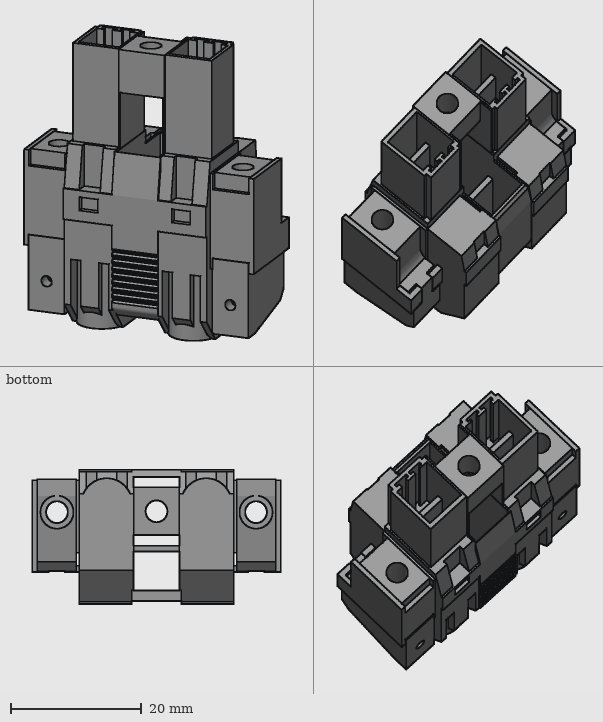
import cadquery as cq


pitch = 7.62
pole_x = -pitch
end_x = -2 * pitch

total_depth = 20.6
total_height = 45.01
half_middle = pitch / 2
side_margin = 0.4
pole_outer_x = -(pitch + half_middle + side_margin)
pole_inner_x = -half_middle
lining = 0.31
bay_half = half_middle - lining

band_step = 0.335
back_band_step = 0.36
band_bottom = 17.45
band_top = 22.43
pole_top = 29.2
back_top = 27.27
front_ramp_top_y = 1.62
back_ramp_top_y = 19.65
front_face_y = band_step
back_face_y = total_depth - back_band_step
front_bevel_z = 3.7
front_bevel_y = 3.7
back_bevel_z = 4.85
back_bevel_y = 15.44
tower_back_y = 12.75

front_notch_width = 3.48
front_notch_wall_y = 2.35
back_notch_width = 2.46
back_notch_wall_y = 19.48
band_pocket_x = pole_x - 0.04
band_pocket_width = 3.06
band_pocket_bottom = 19.2
band_pocket_top = 21.37
band_pocket_depth = 1.0

entry_radius = 3.9
entry_front_y = 1.34
entry_y = entry_front_y + entry_radius
entry_slot_width = 6.32
entry_strip_width = 3.0
entry_slot_top = 11.04

tower_outer_x = -11.5
tower_front_y = 3.02
outer_notch_x = 0.48
outer_notch_y = 0.95
inner_notch_x = 0.54
inner_notch_y = 0.5
cavity_left = -10.88
cavity_right = -4.15
cavity_front_y = 3.81
cavity_left_lip_y = 11.01
cavity_tab_y = 11.13
cavity_right_lip_y = 11.34
rail_step_y = 11.66
rail_back_y = 12.1
rail_lip = 0.53
left_rail_neck = (-9.76, -8.38)
right_rail_neck = (-6.77, -5.54)

blade_width = 4.4
blade_thickness = 0.88
blade_y = 7.16
blade_bottom = 24.0
blade_recess = 5.0
blade_top = total_height - blade_recess

lining_top = 29.04
back_lining_top = 26.9
back_rebate_front_y = tower_back_y
back_rebate_back_y = 16.83
back_rebate_width = 0.53
back_rebate_depth = 1.0
front_plate_back_y = 1.15
front_plate_top_y = 1.08
front_plate_corner_radius = 1.0
grip_top = 13.7
grip_pitch = 1.1
grip_count = 8
grip_slope = 0.35
grip_flat = 0.25
back_plate_y = 20.15
back_plate_bottom = 8.0
back_plate_front_y = 18.5
back_plate_ramp_y = 19.5
back_plate_flat_y = 19.0
back_plate_ramp_top = 26.3
cross_wall_front_y = 11.64
cross_wall_thickness = 0.94
cross_wall_bottom = 5.0
cross_wall_top = 20.0

bridge_front_y = 2.7
bridge_back_y = 10.03
bridge_wing_back_y = tower_back_y - inner_notch_y
bridge_bottom = 38.09
screw_hole_radius = 1.65
bridge_hole_y = 6.4

sleeve_outer_x = -5 * pitch / 2
sleeve_wall = 0.78
block_width = 6.0
block_left_x = sleeve_outer_x + sleeve_wall
block_right_x = block_left_x + block_width
sleeve_bottom = 11.98
sleeve_top = 27.32
sleeve_front_y = 1.62
sleeve_bevel_y = 0.05
sleeve_bevel_z = 0.32
sleeve_window_bottom = 24.78
sleeve_foot_window_top = 13.73
sleeve_back_y = 15.71
sleeve_back_wall_y = 14.73
sleeve_back_top = 16.95
block_key_width = 2.45

block_front_y = sleeve_front_y + sleeve_wall
block_foot_front_y = 1.46
block_column_back_y = 11.64
block_shelf_z = 17.05
block_shelf_back_y = 14.44
block_key_back_y = 15.57
block_cove_depth = 0.93
block_cove_height = 1.6
block_cove_radius = 2.7
block_bottom = 1.63
block_bevel_top = 5.52
block_bevel_y = 14.09
block_bevel_z = 3.96
block_flat_y = 4.03
block_hole_y = 6.53
block_boss_radius = 2.53
pin_hole_radius = 0.85
pin_hole_z = 6.6
pin_hole_depth = 2.5


def box(x0, x1, y0, y1, z0, z1):
    return cq.Workplane("XY").box(x1 - x0, y1 - y0, z1 - z0, centered=False).translate((x0, y0, z0))


def yz_prism(points, x0, x1):
    """A prism along X from an outline of (Y, Z) points."""
    return cq.Workplane("YZ").polyline(points).close().extrude(x1 - x0).translate((x0, 0, 0))


def z_cylinder(x, y, radius, z0, z1):
    return cq.Workplane("XY").center(x, y).circle(radius).extrude(z1 - z0).translate((0, 0, z0))


def on_side(body, side):
    """The left-hand body itself for side -1, its mirror image for side +1."""
    return body if side < 0 else body.mirror("YZ")


def pole_outline():
    return [
        (front_bevel_y, 0),
        (front_face_y, front_bevel_z),
        (front_face_y, band_bottom),
        (0, band_bottom),
        (0, band_top),
        (front_face_y, band_top),
        (front_ramp_top_y, pole_top),
        (tower_back_y, pole_top),
        (tower_back_y, back_top),
        (back_ramp_top_y, back_top),
        (back_face_y, band_top),
        (total_depth, band_top),
        (total_depth, band_bottom),
        (back_face_y, band_bottom),
        (back_face_y, back_bevel_z),
        (back_bevel_y, 0),
    ]


def pole_lining():
    """Thin inner skin that narrows the middle bay; the bridge block's wings stand on it."""
    face_x = -bay_half
    front_y = front_plate_back_y / 2
    skin = yz_prism(pole_outline(), pole_inner_x, face_x)
    front_zone = box(pole_inner_x, face_x, front_y, tower_back_y, 0, lining_top)
    back_zone = box(pole_inner_x, face_x, tower_back_y, back_plate_front_y, 0, back_lining_top)
    return skin.intersect(front_zone.union(back_zone))


def cut_notches_and_pockets(pole):
    half_front = front_notch_width / 2
    half_back = back_notch_width / 2
    half_pocket = band_pocket_width / 2
    front_notch = box(pole_x - half_front, pole_x + half_front, 0, front_notch_wall_y, band_top, pole_top)
    back_notch = box(
        pole_x - half_back, pole_x + half_back, back_notch_wall_y, total_depth, band_top, back_top
    )
    band_pocket = box(
        band_pocket_x - half_pocket, band_pocket_x + half_pocket,
        0, band_pocket_depth,
        band_pocket_bottom, band_pocket_top,
    )
    rebate = box(
        pole_inner_x - back_rebate_width, pole_inner_x,
        back_rebate_front_y, back_rebate_back_y,
        back_top - back_rebate_depth, back_top,
    )
    return pole.cut(front_notch).cut(back_notch).cut(band_pocket).cut(rebate)


def add_wire_entry(pole):
    """A round wire barrel, laid bare by the bottom bevel and by two slots beside a flat strip."""
    barrel = z_cylinder(pole_x, entry_y, entry_radius, 0, entry_slot_top)
    half_slot = entry_slot_width / 2
    half_strip = entry_strip_width / 2
    slots = box(pole_x - half_slot, pole_x + half_slot, 0, entry_y, 0, entry_slot_top)
    strip = box(pole_x - half_strip, pole_x + half_strip, 0, entry_y, 0, entry_slot_top)
    return pole.cut(slots.cut(strip)).union(barrel)


def tower_cavity():
    mouth_y = (cavity_front_y + cavity_left_lip_y) / 2
    cavity = box(cavity_left, cavity_right, cavity_front_y, cavity_left_lip_y, pole_top, total_height)
    left_end = left_rail_neck[1]
    right_start = right_rail_neck[0]
    tab_space = box(left_end, right_start, mouth_y, cavity_tab_y, pole_top, total_height)
    lip_space = box(
        right_rail_neck[1], cavity_right, mouth_y, cavity_right_lip_y, pole_top, total_height
    )
    cavity = cavity.union(tab_space).union(lip_space)
    for start, end in (left_rail_neck, right_rail_neck):
        neck = box(start, end, mouth_y, rail_back_y, pole_top, total_height)
        groove = box(
            start - rail_lip, end + rail_lip, rail_step_y, rail_back_y, pole_top, total_height
        )
        cavity = cavity.union(neck).union(groove)
    return cavity


def make_tower(side):
    """Hollow tower standing on a pole, with two undercut grooves in its back wall."""
    tube = box(tower_outer_x, pole_inner_x, tower_front_y, tower_back_y, pole_top, total_height)
    outer_notch = box(
        tower_outer_x, tower_outer_x + outer_notch_x,
        tower_back_y - outer_notch_y, tower_back_y,
        pole_top, total_height,
    )
    inner_notch = box(
        pole_inner_x - inner_notch_x, pole_inner_x,
        tower_back_y - inner_notch_y, tower_back_y,
        pole_top, total_height,
    )
    return on_side(tube.cut(outer_notch).cut(inner_notch).cut(tower_cavity()), side)


def left_blade():
    return box(
        pole_x - blade_width / 2, pole_x + blade_width / 2,
        blade_y - blade_thickness / 2, blade_y + blade_thickness / 2,
        blade_bottom, blade_top,
    )


def left_sleeve():
    """Open-topped sleeve round a screw block, with a low back wall slotted for the block's key."""
    outline = [
        (sleeve_front_y, sleeve_bottom),
        (sleeve_front_y, sleeve_top - sleeve_bevel_z),
        (sleeve_front_y + sleeve_bevel_y, sleeve_top),
        (tower_back_y, sleeve_top),
        (tower_back_y, sleeve_back_top),
        (sleeve_back_y, sleeve_back_top),
        (sleeve_back_y, sleeve_bottom),
    ]
    sleeve = yz_prism(outline, sleeve_outer_x, pole_outer_x)
    well = box(block_left_x, block_right_x, block_front_y, sleeve_back_wall_y, sleeve_bottom, sleeve_top)
    side_gap = box(
        block_right_x, pole_outer_x, tower_back_y, sleeve_back_wall_y, sleeve_bottom, sleeve_top
    )
    window = box(block_left_x, block_right_x, 0, block_front_y, sleeve_window_bottom, sleeve_top)
    foot_window = box(block_left_x, block_right_x, 0, block_front_y, sleeve_bottom, sleeve_foot_window_top)
    key_slot = box(
        end_x - block_key_width / 2, end_x + block_key_width / 2,
        sleeve_back_wall_y, sleeve_back_y,
        sleeve_bottom, sleeve_back_top,
    )
    return sleeve.cut(well).cut(side_gap).cut(window).cut(foot_window).cut(key_slot)


def left_pole():
    pole = yz_prism(pole_outline(), pole_outer_x, pole_inner_x).union(pole_lining())
    pole = add_wire_entry(cut_notches_and_pockets(pole))
    return pole.union(left_sleeve()).cut(left_blade())


def front_plate():
    """Front wall of the middle bay, with a ramp above, a rounded bevel below and finger grips."""
    bevel_slope = front_bevel_z / (front_bevel_y - front_face_y)
    bevel_top = front_bevel_z + front_face_y * bevel_slope
    bevel_bottom = bevel_top - front_plate_back_y * bevel_slope
    outline = [
        (front_plate_back_y, bevel_bottom),
        (0, bevel_top),
        (0, band_top),
        (front_plate_top_y, lining_top),
        (front_plate_back_y, lining_top),
    ]
    plate = yz_prism(outline, -half_middle, half_middle)
    corner = cq.selectors.NearestToPointSelector((0, 0, bevel_top))
    plate = plate.edges(corner).fillet(front_plate_corner_radius)
    for i in range(grip_count):
        top = grip_top - i * grip_pitch
        flat_top = top - grip_slope
        flat_bottom = flat_top - grip_flat
        groove = [
            (0, top),
            (band_step, flat_top),
            (band_step, flat_bottom),
            (0, flat_bottom - grip_slope),
        ]
        plate = plate.cut(yz_prism(groove, -half_middle, half_middle))
    return plate


def back_plate():
    chamfer = back_plate_ramp_y - back_plate_flat_y
    top = back_plate_ramp_top + chamfer
    outline = [
        (back_plate_front_y, back_plate_bottom),
        (back_plate_y, back_plate_bottom),
        (back_plate_y, band_top),
        (back_plate_ramp_y, back_plate_ramp_top),
        (back_plate_flat_y, top),
        (back_plate_front_y, top),
    ]
    return yz_prism(outline, -half_middle, half_middle)


def make_housing():
    cross_wall = box(
        -bay_half, bay_half,
        cross_wall_front_y, cross_wall_front_y + cross_wall_thickness,
        cross_wall_bottom, cross_wall_top,
    )
    pole = left_pole()
    housing = front_plate().union(back_plate()).union(cross_wall)
    for side in (-1, 1):
        housing = housing.union(on_side(pole, side))
    return housing


def make_bridge():
    """Screw-bored block between the towers, with thin wings that stand on the pole linings."""
    block = box(-half_middle, half_middle, bridge_front_y, bridge_back_y, bridge_bottom, total_height)
    for inner_edge in (-half_middle, bay_half):
        wing = box(
            inner_edge, inner_edge + lining,
            bridge_front_y, bridge_wing_back_y,
            lining_top, total_height,
        )
        block = block.union(wing)
    return block.cut(z_cylinder(0, bridge_hole_y, screw_hole_radius, bridge_bottom, total_height))


def make_blade(side):
    return on_side(left_blade(), side)


def make_block(side):
    """Screw block: a column with a shelf behind it, on a wide foot with a sloping underside."""
    column_outline = (
        cq.Workplane("YZ")
        .moveTo(block_front_y, sleeve_bottom)
        .lineTo(block_front_y, sleeve_top)
        .lineTo(block_column_back_y, sleeve_top)
        .lineTo(block_column_back_y, block_shelf_z + block_cove_height)
        .radiusArc((block_column_back_y + block_cove_depth, block_shelf_z), -block_cove_radius)
        .lineTo(block_shelf_back_y, block_shelf_z)
        .lineTo(block_shelf_back_y, sleeve_bottom)
        .close()
    )
    column = column_outline.extrude(block_width).translate((block_left_x, 0, 0))
    key = box(
        end_x - block_key_width / 2, end_x + block_key_width / 2,
        block_column_back_y, block_key_back_y,
        sleeve_bottom, block_shelf_z,
    )
    foot_outline = [
        (block_foot_front_y, block_bottom),
        (block_foot_front_y, sleeve_foot_window_top),
        (block_front_y, sleeve_foot_window_top),
        (block_front_y, sleeve_bottom),
        (block_key_back_y, sleeve_bottom),
        (block_key_back_y, block_bevel_top),
        (block_bevel_y, block_bevel_z),
        (block_flat_y, block_bottom),
    ]
    foot = yz_prism(foot_outline, block_left_x, block_right_x)
    boss = z_cylinder(end_x, block_hole_y, block_boss_radius, block_bottom, sleeve_bottom)
    hole = z_cylinder(end_x, block_hole_y, screw_hole_radius, block_bottom, sleeve_top)
    pin_hole = (
        cq.Workplane("XZ")
        .center(end_x, pin_hole_z)
        .circle(pin_hole_radius)
        .extrude(-pin_hole_depth)
        .translate((0, block_foot_front_y, 0))
    )
    block = foot.union(column).union(key).union(boss).cut(hole).cut(pin_hole)
    return on_side(block, side)


bodies = [make_housing().solids().val(), make_bridge().solids().val()]
for side in (-1, 1):
    for make_body in (make_tower, make_blade, make_block):
        bodies.append(make_body(side).solids().val())

result = cq.Compound.makeCompound(bodies)